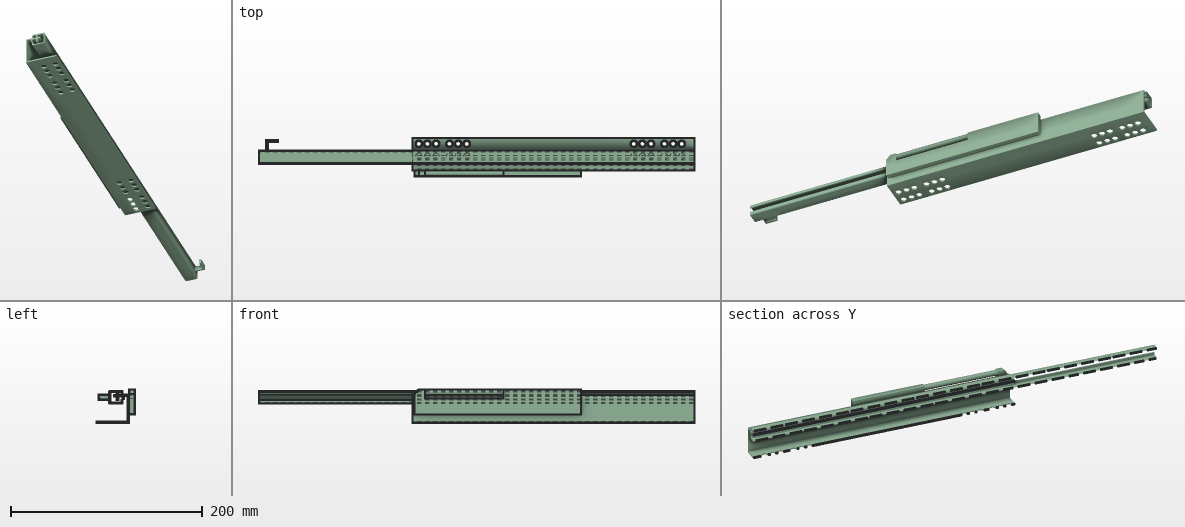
import cadquery as cq

rail_length = 454.0
overall_depth = 40.0
overall_height = 35.0
rail_start = -rail_length / 2
rail_end = rail_length / 2
back_y = overall_depth / 2
front_y = -overall_depth / 2

block_depth = 6.0
block_start = -65.0
block_length = 173.7
block_end = block_start + block_length
block_bottom = 9.0
block_back_y = front_y + block_depth
block_chamfer = 4.7
pocket_start = -54.0
pocket_length = 82.0
pocket_end = pocket_start + pocket_length
pocket_bottom = 25.4
damper_radius = block_depth / 2

bracket_length = 294.0
bracket_start = rail_end - bracket_length
sheet = 1.5
flange_top = 29.5
lip_front_y = -8.5
lip_back_y = lip_front_y + sheet
lip_bottom = 25.0
wall_back_y = block_back_y + sheet

hole_diameter = 6.4
hole_rows_y = (13.9, 1.0)
hole_pitch = 9.0
holes_per_group = 3
group_pitch = 32.0
groups_per_end = 2
end_pitch = 7 * group_pitch
bracket_ends = 2
first_hole_x = bracket_start + 6.6

rail_width = 14.0
rail_height = 13.3
rail_sheet = 1.3
rail_corner = 1.5
rail_front_y = -7.2
rail_back_y = rail_front_y + rail_width
rail_bottom = 20.1
rail_top = rail_bottom + rail_height
slot_bottom = 24.1
slot_top = flange_top

hook_start = rail_start + 7.3
hook_length = 12.8
hook_sheet = 2.0
hook_back_y = 17.8
hook_bottom = slot_bottom
hook_top = slot_top

carriage_thickness = 2.0
arm_top = flange_top - 0.1
arm_bottom = arm_top - carriage_thickness
arm_back_y = 2.0
web_back_y = -0.8
web_front_y = web_back_y - carriage_thickness
web_top = rail_top - rail_sheet
web_bottom = 24.0


def box(x_range, y_range, z_range):
    """Box that spans the given (low, high) ranges."""
    lows, highs = zip(x_range, y_range, z_range)
    sizes = [high - low for low, high in zip(lows, highs)]
    return cq.Workplane("XY").box(*sizes, centered=False).translate(lows)


def hole_positions():
    """Centres of the mounting holes: groups of three near both ends, in two rows."""
    return [
        (first_hole_x + end * end_pitch + group * group_pitch + hole * hole_pitch, row_y)
        for row_y in hole_rows_y
        for end in range(bracket_ends)
        for group in range(groups_per_end)
        for hole in range(holes_per_group)
    ]


def make_bracket():
    outline = [
        (back_y, 0),
        (block_back_y, 0),
        (block_back_y, flange_top),
        (lip_back_y, flange_top),
        (lip_back_y, lip_bottom),
        (lip_front_y, lip_bottom),
        (lip_front_y, flange_top - sheet),
        (wall_back_y, flange_top - sheet),
        (wall_back_y, sheet),
        (back_y, sheet),
    ]
    profile = cq.Workplane("YZ", origin=(bracket_start, 0, 0)).polyline(outline).close()
    holes = cq.Workplane("XY").pushPoints(hole_positions()).circle(hole_diameter / 2).extrude(sheet)
    return profile.extrude(bracket_length).cut(holes)


def make_hook():
    x_range = (hook_start, hook_start + hook_length)
    z_range = (hook_bottom, hook_top)
    stem = box((hook_start, hook_start + hook_sheet), (rail_back_y - rail_sheet, hook_back_y), z_range)
    finger = box(x_range, (hook_back_y - hook_sheet, hook_back_y), z_range)
    return stem.union(finger)


def make_drawer_rail():
    x_range = (rail_start, rail_end)
    outside = box(x_range, (rail_front_y, rail_back_y), (rail_bottom, rail_top))
    inside = box(
        x_range,
        (rail_front_y + rail_sheet, rail_back_y - rail_sheet),
        (rail_bottom + rail_sheet, rail_top - rail_sheet),
    )
    slot = box(x_range, (rail_front_y, rail_front_y + rail_sheet), (slot_bottom, slot_top))
    return outside.edges("|X").fillet(rail_corner).cut(inside).cut(slot).union(make_hook())


def make_damper_block():
    y_range = (front_y, block_back_y)
    block = box((block_start, block_end), y_range, (block_bottom, overall_height))
    block = block.edges("|Y and <X and >Z").chamfer(block_chamfer)
    pocket = box((pocket_start, pocket_end), y_range, (pocket_bottom, overall_height))
    damper_axis = (pocket_start, front_y + damper_radius, overall_height - damper_radius)
    damper_plane = cq.Plane(origin=damper_axis, xDir=(0, -1, 0), normal=(1, 0, 0))
    damper = cq.Workplane(damper_plane).circle(damper_radius).extrude(pocket_length)
    return block.cut(pocket).union(damper)


def make_carriage():
    x_range = (bracket_start, rail_end)
    arm = box(x_range, (lip_back_y, arm_back_y), (arm_bottom, arm_top))
    web = box(x_range, (web_front_y, web_back_y), (web_bottom, web_top))
    return arm.union(web)


bracket = make_bracket()
drawer_rail = make_drawer_rail()
damper_block = make_damper_block()
carriage = make_carriage()

result = cq.Compound.makeCompound([
    bracket.val(),
    drawer_rail.val(),
    damper_block.val(),
    carriage.val(),
])